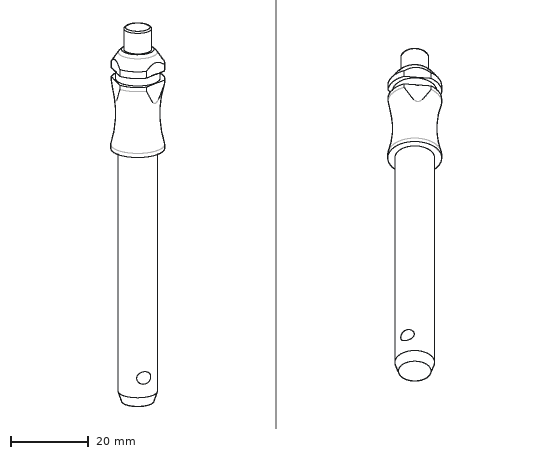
import cadquery as cq
import math

total_height = 102.7
grip_radius = 7.0
shank_radius = 5.1

tip_radius = 4.2
tip_height = 2.8

handle_bottom = 69.4
rim_height = 1.1
waist_radius = 5.8
handle_top = 88.6
flare_bottom = handle_bottom + rim_height
flare_top = handle_top - rim_height
waist_height = (flare_bottom + flare_top) / 2

neck_height = 2.5
head_rim_height = 1.8
head_chamfer_height = 0.8
head_bottom = handle_top + neck_height
head_shoulder = head_bottom + head_rim_height
head_top = 96.6
taper_top_radius = 5.0
taper_top = head_top - head_chamfer_height
head_top_radius = 4.2

button_radius = 3.6
button_chamfer = 0.4

flat_count = 3
flat_half_angle = 30
flat_distance = grip_radius * math.cos(math.radians(flat_half_angle))
flat_bottom = waist_height

ball_radius = 2.1
ball_height = 8.1
ball_reach = 6.1


def make_body():
    """Revolve the shank, handle, neck, head and button as one profile."""
    flare_depth = grip_radius - waist_radius
    flare_half_height = flare_top - waist_height
    flare_radius = (flare_half_height**2 + flare_depth**2) / (2 * flare_depth)
    profile = (
        cq.Workplane("XZ")
        .lineTo(tip_radius, 0)
        .lineTo(shank_radius, tip_height)
        .lineTo(shank_radius, handle_bottom)
        .lineTo(grip_radius, handle_bottom)
        .lineTo(grip_radius, flare_bottom)
        .radiusArc((waist_radius, waist_height), flare_radius)
        .radiusArc((grip_radius, flare_top), flare_radius)
        .lineTo(grip_radius, handle_top)
        .lineTo(waist_radius, handle_top)
        .lineTo(waist_radius, head_bottom)
        .lineTo(grip_radius, head_bottom)
        .lineTo(grip_radius, head_shoulder)
        .lineTo(taper_top_radius, taper_top)
        .lineTo(head_top_radius, head_top)
        .lineTo(button_radius, head_top)
        .lineTo(button_radius, total_height - button_chamfer)
        .lineTo(button_radius - button_chamfer, total_height)
        .lineTo(0, total_height)
        .close()
    )
    return profile.revolve(360, (0, 0, 0), (0, 1, 0))


def cut_flats(body):
    """Cut the flats, the first one facing -Y."""
    cutter = cq.Workplane("XY").box(
        2 * grip_radius,
        grip_radius,
        head_top - flat_bottom,
        centered=(True, False, False),
    )
    cutter = cutter.translate((0, -flat_distance - grip_radius, flat_bottom))
    for index in range(flat_count):
        angle = index * 360 / flat_count
        body = body.cut(cutter.rotate((0, 0, 0), (0, 0, 1), angle))
    return body


def add_balls(body):
    """Set a locking ball into each side of the shank along X."""
    for side in (-1, 1):
        center = (side * (ball_reach - ball_radius), 0, ball_height)
        body = body.union(cq.Workplane("XY").sphere(ball_radius).translate(center))
    return body


result = add_balls(cut_flats(make_body()))